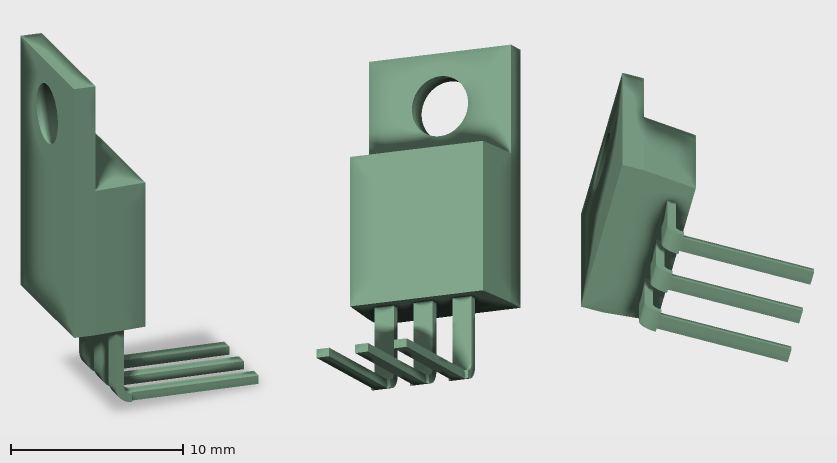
import cadquery as cq

total_height = 20.55
total_depth = 12.0

package_width = 9.1
tab_thickness = 1.32
tab_height = 6.51
hole_diameter = 3.6
hole_below_top = 3.19

housing_height = 8.98
housing_depth = 4.5
housing_back_inset = 0.29
housing_top = total_height - tab_height
housing_bottom = housing_top - housing_height

lead_count = 3
lead_pitch = 2.49
lead_thickness = 0.51
lead_width = 1.23
lead_tip_width = 0.82
lead_front = 3.1
bend_inner_radius = 0.5
bend_outer_radius = bend_inner_radius + lead_thickness
lead_back = lead_front + lead_thickness
bend_end = lead_front + bend_outer_radius


def make_tab():
    """Flat mounting plate with a screw hole, standing on top of the housing."""
    plate = cq.Workplane("XY").box(
        package_width, tab_thickness, tab_height, centered=(True, False, False)
    ).translate((0, 0, housing_top))
    hole = (
        cq.Workplane("XZ")
        .center(0, total_height - hole_below_top)
        .circle(hole_diameter / 2)
        .extrude(-tab_thickness)
    )
    return plate.cut(hole)


def make_housing():
    """Block that is straight over the tab thickness and tapers behind it."""
    half_front = package_width / 2
    half_back = half_front - housing_back_inset
    return (
        cq.Workplane("XY", origin=(0, 0, housing_bottom))
        .moveTo(-half_front, 0)
        .lineTo(half_front, 0)
        .lineTo(half_front, tab_thickness)
        .lineTo(half_back, housing_depth)
        .lineTo(-half_back, housing_depth)
        .lineTo(-half_front, tab_thickness)
        .close()
        .extrude(housing_height)
    )


def make_lead(x):
    """Lead with a wide upright and bend, and a narrower horizontal tip."""
    upright = (
        cq.Workplane("YZ", origin=(x, 0, 0))
        .moveTo(lead_front, housing_bottom)
        .lineTo(lead_front, bend_outer_radius)
        .radiusArc((bend_end, 0), -bend_outer_radius)
        .lineTo(bend_end, lead_thickness)
        .radiusArc((lead_back, bend_outer_radius), bend_inner_radius)
        .lineTo(lead_back, housing_bottom)
        .close()
        .extrude(lead_width / 2, both=True)
    )
    tip = cq.Workplane("XY").box(
        lead_tip_width, total_depth - bend_end, lead_thickness, centered=(True, False, False)
    ).translate((x, bend_end, 0))
    return upright.union(tip)


tab = make_tab()
housing = make_housing()
leads = []
for index in range(lead_count):
    offset = (index - (lead_count - 1) / 2) * lead_pitch
    leads.append(make_lead(offset))

result = cq.Compound.makeCompound([tab.val(), housing.val(), *[lead.val() for lead in leads]])